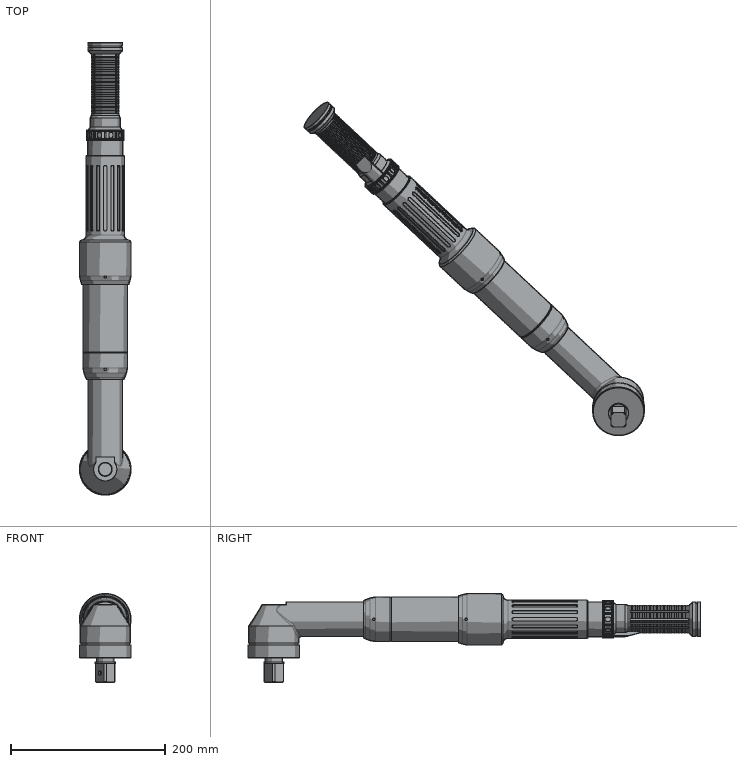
import cadquery as cq
import math


CUT_REACH = 1.0

HEAD_RADIUS = 33.5
HEAD_UPPER_RADIUS = 32.6
HEAD_TOP_RADIUS = 15.0
HEAD_TOP_Z = 19.0
CONE_BASE_Z = -9.0
HEAD_GROOVE_TOP_Z = -30.5
HEAD_GROOVE_BOTTOM_Z = -33.0
HEAD_GROOVE_DEPTH = 1.0
HEAD_BOTTOM_Z = -50.0
HEAD_EDGE_CHAMFER = 0.8
HEAD_BLEND_RADIUS = 3.0
TOP_FLAT_END_Y = 16.0
TOP_CAP_RADIUS = 9.0
TOP_CAP_GROOVE_WIDTH = 0.6
TOP_CAP_GROOVE_DEPTH = 0.5

DRIVE_END_Z = -81.6
DRIVE_COLLAR_TOP_Z = -55.5
DRIVE_COLLAR_BOTTOM_Z = -57.5
DRIVE_COLLAR_RADIUS = 13.0
DRIVE_NECK_RADIUS = 11.5
DRIVE_SQUARE = 19.8
DRIVE_TURN = 45
DRIVE_CORNER_RADIUS = 12.6
DRIVE_END_CHAMFER = 1.2
DETENT_DIAMETER = 5.5
DETENT_DEPTH = 3.0
DETENT_Z = -69.5

TUBE_RADIUS = 22.5
NOSE_START_Y = 116.0
NOSE_TIP_RADIUS = 24.0
NOSE_STEP_Y = 119.0
NOSE_STEP_RADIUS = 25.5
NOSE_RING_Y = 124.5
NOSE_RING_RADIUS = 27.6
NOSE_END_Y = 131.5
HOUSING_RADIUS = 29.0
HOUSING_GROOVE_Y = 150.5
HOUSING_GROOVE_WIDTH = 1.6
HOUSING_GROOVE_DEPTH = 0.6
COLLAR_START_Y = 239.0
COLLAR_START_RADIUS = 30.5
COLLAR_BEVEL_Y = 244.5
COLLAR_BEVEL_RADIUS = 32.2
COLLAR_FULL_Y = 250.0
COLLAR_RADIUS = 33.4
COLLAR_END_Y = 297.0
COLLAR_END_CHAMFER = 2.5
PIN_HOLE_DIAMETER = 3.0
PIN_HOLE_DEPTH = 3.0
PIN_HOLE_ANGLES = (0, 90, 180, 270)
PIN_HOLE_STATIONS = ((249.0, COLLAR_RADIUS), (129.5, HOUSING_RADIUS))

FLARE_MIDDLE_Y = 299.0
FLARE_MIDDLE_RADIUS = 26.3
FLARE_END_Y = 303.5
GRIP_RADIUS = 25.0
GRIP_END_Y = 406.5
GRIP_CHAMFER = 1.0
FLUTE_COUNT = 16
FLUTE_START_Y = 308.5
FLUTE_END_Y = 393.5
FLUTE_WIDTH = 4.0
FLUTE_DEPTH = 1.6

SHAFT_RADIUS = 22.7
RING_START_Y = 425.7
RING_END_Y = 439.6
RING_RADIUS = 24.5
RING_GROOVE_WIDTH = 1.2
RING_GROOVE_DEPTH = 0.6
RING_NOTCH_COUNT = 10
RING_NOTCH_LENGTH = 8.0
RING_NOTCH_WIDTH = 5.5
RING_NOTCH_DEPTH = 1.2
RING_SLIT_WIDTH = 2.0
NECK_RADIUS = 22.0
NECK_SHOULDER_Y = 443.0
NECK_SHOULDER_RADIUS = 19.5
NECK_STEP_Y = 454.8
RAMP_END_Y = 473.0
RAMP_WIDTH = 18.0

HANDLE_RADIUS = 18.0
HANDLE_START_Y = 458.4
RIBS_START_Y = 461.0
RIBS_END_Y = 537.0
RIB_PITCH = 3.6
RIB_GROOVE_WIDTH = 1.8
RIB_GROOVE_DEPTH = 0.6
CHANNEL_HEIGHTS = (10.6, 0.0, -5.3, -10.6)
CHANNEL_WIDTH = 2.6
CHANNEL_DEPTH = 0.9
SIDE_RECESS_DIAMETER = 9.0
SIDE_RECESS_DEPTH = 2.0
SIDE_HOLE_DIAMETER = 4.5
SIDE_HOLE_DEPTH = 6.0
SIDE_HOLE_Y = 527.5
CAP_START_Y = 537.5
CAP_RADIUS = 22.5
CAP_RIM_Y = 542.0
CAP_GROOVE_START_Y = 546.3
CAP_GROOVE_END_Y = 548.3
CAP_GROOVE_DEPTH = 1.5
BODY_END_Y = 552.5


def tube_along_y(start, end, radius):
    """Round bar on the body axis from start to end."""
    return cq.Workplane("XZ", origin=(0, start, 0)).circle(radius).extrude(start - end)


def groove_around_y(start, width, radius, depth):
    """Ring of material to cut from a body of the given radius."""
    outer = tube_along_y(start, start + width, radius + CUT_REACH)
    return outer.cut(tube_along_y(start, start + width, radius - depth))


def make_body():
    """Turned body from the head centre to the end cap."""
    rib_floor = HANDLE_RADIUS - RIB_GROOVE_DEPTH
    cap_floor = CAP_RADIUS - CAP_GROOVE_DEPTH
    profile = (
        cq.Workplane("XY")
        .lineTo(TUBE_RADIUS, 0)
        .lineTo(TUBE_RADIUS, NOSE_START_Y)
        .lineTo(NOSE_TIP_RADIUS, NOSE_START_Y)
        .lineTo(NOSE_STEP_RADIUS, NOSE_STEP_Y)
        .lineTo(NOSE_RING_RADIUS, NOSE_RING_Y)
        .lineTo(HOUSING_RADIUS, NOSE_END_Y)
        .lineTo(HOUSING_RADIUS, COLLAR_START_Y)
        .lineTo(COLLAR_START_RADIUS, COLLAR_START_Y)
        .lineTo(COLLAR_BEVEL_RADIUS, COLLAR_BEVEL_Y)
        .lineTo(COLLAR_RADIUS, COLLAR_FULL_Y)
        .lineTo(COLLAR_RADIUS, COLLAR_END_Y - COLLAR_END_CHAMFER)
        .lineTo(COLLAR_RADIUS - COLLAR_END_CHAMFER, COLLAR_END_Y)
        .threePointArc((FLARE_MIDDLE_RADIUS, FLARE_MIDDLE_Y), (GRIP_RADIUS, FLARE_END_Y))
        .lineTo(GRIP_RADIUS, GRIP_END_Y - GRIP_CHAMFER)
        .lineTo(GRIP_RADIUS - GRIP_CHAMFER, GRIP_END_Y)
        .lineTo(SHAFT_RADIUS, GRIP_END_Y)
        .lineTo(SHAFT_RADIUS, RING_START_Y)
        .lineTo(RING_RADIUS, RING_START_Y)
        .lineTo(RING_RADIUS, RING_END_Y)
        .lineTo(NECK_RADIUS, RING_END_Y)
        .lineTo(NECK_SHOULDER_RADIUS, NECK_SHOULDER_Y)
        .lineTo(NECK_SHOULDER_RADIUS, NECK_STEP_Y)
        .lineTo(HANDLE_RADIUS, HANDLE_START_Y)
    )
    for index in range(math.floor((RIBS_END_Y - RIBS_START_Y) / RIB_PITCH)):
        groove_start = RIBS_START_Y + index * RIB_PITCH
        groove_end = groove_start + RIB_GROOVE_WIDTH
        profile = (
            profile.lineTo(HANDLE_RADIUS, groove_start)
            .lineTo(rib_floor, groove_start)
            .lineTo(rib_floor, groove_end)
            .lineTo(HANDLE_RADIUS, groove_end)
        )
    profile = (
        profile.lineTo(HANDLE_RADIUS, CAP_START_Y)
        .lineTo(CAP_RADIUS, CAP_RIM_Y)
        .lineTo(CAP_RADIUS, CAP_GROOVE_START_Y)
        .lineTo(cap_floor, CAP_GROOVE_START_Y)
        .lineTo(cap_floor, CAP_GROOVE_END_Y)
        .lineTo(CAP_RADIUS, CAP_GROOVE_END_Y)
        .lineTo(CAP_RADIUS, BODY_END_Y)
        .lineTo(0, BODY_END_Y)
        .close()
    )
    return profile.revolve(360, (0, 0, 0), (0, 1, 0))


def make_head():
    """Turned angle head: cone, upper band, groove and lower band."""
    groove_radius = HEAD_UPPER_RADIUS - HEAD_GROOVE_DEPTH
    profile = (
        cq.Workplane("XZ")
        .moveTo(0, HEAD_TOP_Z)
        .lineTo(HEAD_TOP_RADIUS, HEAD_TOP_Z)
        .lineTo(HEAD_UPPER_RADIUS, CONE_BASE_Z)
        .lineTo(HEAD_UPPER_RADIUS, HEAD_GROOVE_TOP_Z)
        .lineTo(groove_radius, HEAD_GROOVE_TOP_Z)
        .lineTo(groove_radius, HEAD_GROOVE_BOTTOM_Z)
        .lineTo(HEAD_RADIUS, HEAD_GROOVE_BOTTOM_Z)
        .lineTo(HEAD_RADIUS, HEAD_BOTTOM_Z + HEAD_EDGE_CHAMFER)
        .lineTo(HEAD_RADIUS - HEAD_EDGE_CHAMFER, HEAD_BOTTOM_Z)
        .lineTo(0, HEAD_BOTTOM_Z)
        .close()
    )
    return profile.revolve(360, (0, 0, 0), (0, 1, 0))


def make_top_flat():
    """Block that levels the tube above the head."""
    size = 2 * HEAD_RADIUS
    block = cq.Workplane("XY").box(size, size, size, centered=(True, False, False))
    return block.translate((0, TOP_FLAT_END_Y - size, HEAD_TOP_Z))


def make_top_cap_groove():
    """Fine ring groove around the cap on top of the head."""
    return (
        cq.Workplane("XY", origin=(0, 0, HEAD_TOP_Z))
        .circle(TOP_CAP_RADIUS)
        .circle(TOP_CAP_RADIUS - TOP_CAP_GROOVE_WIDTH)
        .extrude(-TOP_CAP_GROOVE_DEPTH)
    )


def make_drive():
    """Neck, collar and square drive turned 45 degrees, with its detent hole."""
    neck = (
        cq.Workplane("XY", origin=(0, 0, HEAD_BOTTOM_Z))
        .circle(DRIVE_NECK_RADIUS)
        .extrude(DRIVE_COLLAR_TOP_Z - HEAD_BOTTOM_Z)
    )
    collar = (
        cq.Workplane("XY", origin=(0, 0, DRIVE_COLLAR_TOP_Z))
        .circle(DRIVE_COLLAR_RADIUS)
        .extrude(DRIVE_COLLAR_BOTTOM_Z - DRIVE_COLLAR_TOP_Z)
    )
    length = DRIVE_COLLAR_BOTTOM_Z - DRIVE_END_Z
    end_plane = cq.Workplane("XY", origin=(0, 0, DRIVE_END_Z))
    round_bar = end_plane.circle(DRIVE_CORNER_RADIUS).extrude(length)
    round_bar = round_bar.faces("<Z").chamfer(DRIVE_END_CHAMFER)
    square = end_plane.rect(DRIVE_SQUARE, DRIVE_SQUARE).extrude(length).intersect(round_bar)
    detent = (
        cq.Workplane("YZ", origin=(-DRIVE_SQUARE / 2, 0, DETENT_Z))
        .circle(DETENT_DIAMETER / 2)
        .extrude(DETENT_DEPTH)
    )
    square = square.cut(detent).rotate((0, 0, 0), (0, 0, 1), DRIVE_TURN)
    return neck.union(collar).union(square)


def make_ramp():
    """Sloped lip under the neck, rounded to the shaft radius."""
    ramp = (
        cq.Workplane("YZ")
        .moveTo(RING_END_Y, 0)
        .lineTo(RAMP_END_Y, 0)
        .lineTo(RAMP_END_Y, -HANDLE_RADIUS)
        .lineTo(NECK_STEP_Y, -SHAFT_RADIUS)
        .lineTo(RING_END_Y, -SHAFT_RADIUS)
        .close()
        .extrude(RAMP_WIDTH / 2, both=True)
    )
    return ramp.intersect(tube_along_y(RING_END_Y, RAMP_END_Y, SHAFT_RADIUS))


def cut_slots(body, count, start, end, width, radius, depth, first_angle=0):
    """Cut round-ended slots along Y, spaced evenly around the body from +X."""
    slot = (
        cq.Workplane("YZ", origin=(radius - depth, (start + end) / 2, 0))
        .slot2D(end - start, width)
        .extrude(CUT_REACH + depth)
    )
    angles = [first_angle + index * 360 / count for index in range(count)]
    cutters = [slot.rotate((0, 0, 0), (0, 1, 0), angle).val() for angle in angles]
    return body.cut(cq.Workplane(cq.Compound.makeCompound(cutters)))


def cut_pin_holes(body):
    """Four radial holes at each pin station."""
    for station, radius in PIN_HOLE_STATIONS:
        hole = (
            cq.Workplane("YZ", origin=(radius - PIN_HOLE_DEPTH, station, 0))
            .circle(PIN_HOLE_DIAMETER / 2)
            .extrude(PIN_HOLE_DEPTH + CUT_REACH)
        )
        for angle in PIN_HOLE_ANGLES:
            body = body.cut(hole.rotate((0, 0, 0), (0, 1, 0), angle))
    return body


def cut_handle_details(body):
    """Channels along both sides of the handle and the stepped round hole near its end."""
    length = RIBS_END_Y - RIBS_START_Y
    for height in CHANNEL_HEIGHTS:
        tilt = math.degrees(math.asin(height / HANDLE_RADIUS))
        channel = cq.Workplane("XY").box(2 * CHANNEL_DEPTH, length, CHANNEL_WIDTH)
        channel = channel.translate((HANDLE_RADIUS, RIBS_START_Y + length / 2, 0))
        for angle in (-tilt, 180 + tilt):
            body = body.cut(channel.rotate((0, 0, 0), (0, 1, 0), angle))
    side = cq.Workplane("YZ", origin=(-HANDLE_RADIUS, SIDE_HOLE_Y, 0))
    recess = side.circle(SIDE_RECESS_DIAMETER / 2).extrude(SIDE_RECESS_DEPTH)
    hole = side.circle(SIDE_HOLE_DIAMETER / 2).extrude(SIDE_HOLE_DEPTH)
    return body.cut(recess).cut(hole)


def cut_ring_details(body):
    """Edge grooves and thumb notches of the speed ring."""
    for start in (RING_START_Y + RING_GROOVE_WIDTH, RING_END_Y - 2 * RING_GROOVE_WIDTH):
        body = body.cut(groove_around_y(start, RING_GROOVE_WIDTH, RING_RADIUS, RING_GROOVE_DEPTH))
    middle = (RING_START_Y + RING_END_Y) / 2
    start = middle - RING_NOTCH_LENGTH / 2
    end = middle + RING_NOTCH_LENGTH / 2
    half_step = 180 / RING_NOTCH_COUNT
    body = cut_slots(body, RING_NOTCH_COUNT, start, end, RING_NOTCH_WIDTH, RING_RADIUS, RING_NOTCH_DEPTH)
    return cut_slots(
        body, RING_NOTCH_COUNT, start, end, RING_SLIT_WIDTH, RING_RADIUS, RING_NOTCH_DEPTH, half_step
    )


def blend_head(body):
    """Round the inner corner where the tube runs into the head."""
    around_tube = cq.selectors.BoxSelector(
        (-TUBE_RADIUS, 0, -TUBE_RADIUS),
        (TUBE_RADIUS, HEAD_RADIUS, HEAD_TOP_Z),
    )
    corner = cq.selectors.TypeSelector("BSPLINE") & around_tube
    return body.edges(corner).fillet(HEAD_BLEND_RADIUS)


body = make_body().union(make_head()).cut(make_top_flat())
body = blend_head(body).cut(make_top_cap_groove())
body = cut_handle_details(body).union(make_ramp())
body = cut_ring_details(body)
body = cut_slots(body, FLUTE_COUNT, FLUTE_START_Y, FLUTE_END_Y, FLUTE_WIDTH, GRIP_RADIUS, FLUTE_DEPTH)
body = cut_pin_holes(body)
body = body.cut(
    groove_around_y(HOUSING_GROOVE_Y, HOUSING_GROOVE_WIDTH, HOUSING_RADIUS, HOUSING_GROOVE_DEPTH)
)

result = body.union(make_drive())